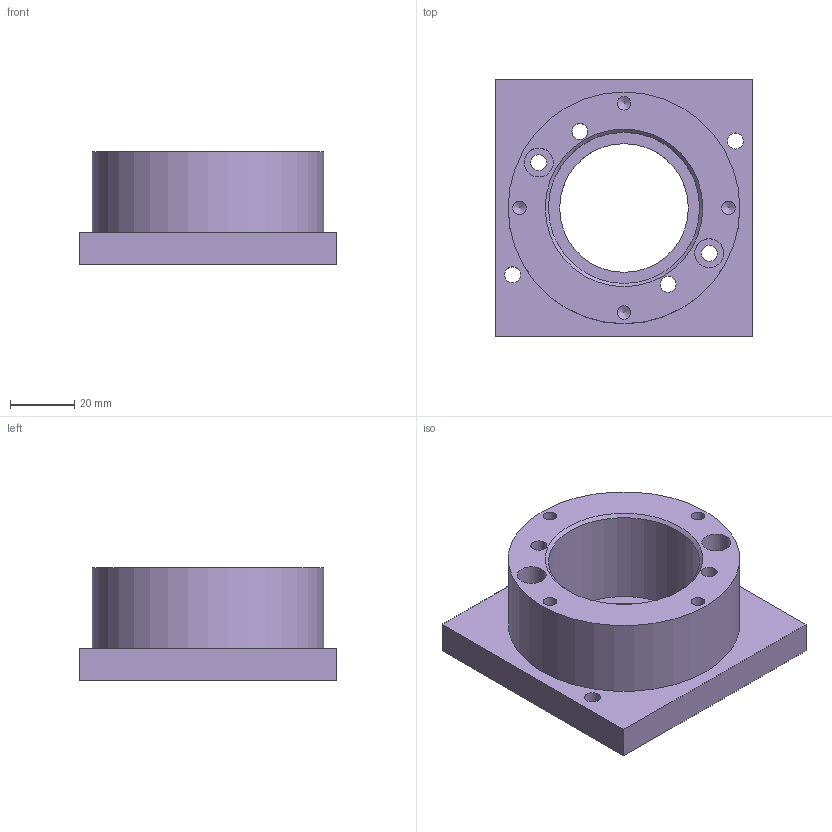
import cadquery as cq
import math

flange_side = 80.0
flange_thickness = 10.0
hub_diameter = 72.0
total_height = 35.0

bore_diameter = 47.0
bore_chamfer = 1.0
lip_diameter = 40.0
lip_thickness = 4.0

blind_diameter = 4.2
blind_depth = 12.0
blind_circle_radius = 32.5
blind_count = 4
drill_point_angle = 118.0

through_diameter = 5.0
hub_hole_radius = 27.4
hub_hole_angle = 120.0
flange_hole_radius = 40.4
flange_hole_angle = 31.0
screw_hole_radius = 30.0
screw_hole_angle = 152.0

counterbore_diameter = 9.0
counterbore_depth = total_height - flange_thickness


def polar_points(radius, first_angle, count):
    """Points evenly spaced around the part's axis."""
    points = []
    for index in range(count):
        angle = math.radians(first_angle + index * 360.0 / count)
        points.append((radius * math.cos(angle), radius * math.sin(angle)))
    return points


def cylinders_from_top(diameter, depth, points):
    """Cutting cylinders reaching down from the hub's top face."""
    top_plane = cq.Workplane("XY").workplane(offset=total_height)
    return top_plane.pushPoints(points).circle(diameter / 2).extrude(-depth)


def make_body():
    flange = cq.Workplane("XY").rect(flange_side, flange_side).extrude(flange_thickness)
    hub = cq.Workplane("XY").circle(hub_diameter / 2).extrude(total_height)
    return flange.union(hub)


def make_central_bore():
    """Revolved cutter for the lip opening, the bore and its chamfered mouth."""
    lip_radius = lip_diameter / 2
    bore_radius = bore_diameter / 2
    return (
        cq.Workplane("XZ")
        .moveTo(0, 0)
        .lineTo(lip_radius, 0)
        .lineTo(lip_radius, lip_thickness)
        .lineTo(bore_radius, lip_thickness)
        .lineTo(bore_radius, total_height - bore_chamfer)
        .lineTo(bore_radius + bore_chamfer, total_height)
        .lineTo(0, total_height)
        .close()
        .revolve(360, (0, 0, 0), (0, 1, 0))
    )


def make_blind_hole():
    """Revolved cutter for one drilled hole with a conical bottom, on the Z axis."""
    radius = blind_diameter / 2
    shoulder = total_height - blind_depth
    point_height = radius / math.tan(math.radians(drill_point_angle / 2))
    return (
        cq.Workplane("XZ")
        .moveTo(0, total_height)
        .lineTo(radius, total_height)
        .lineTo(radius, shoulder)
        .lineTo(0, shoulder - point_height)
        .close()
        .revolve(360, (0, 0, 0), (0, 1, 0))
    )


result = make_body().cut(make_central_bore())

blind_hole = make_blind_hole()
for x, y in polar_points(blind_circle_radius, 0, blind_count):
    result = result.cut(blind_hole.translate((x, y, 0)))

through_pairs = [
    (hub_hole_radius, hub_hole_angle),
    (flange_hole_radius, flange_hole_angle),
    (screw_hole_radius, screw_hole_angle),
]
for radius, angle in through_pairs:
    pair = polar_points(radius, angle, 2)
    result = result.cut(cylinders_from_top(through_diameter, total_height, pair))

screw_points = polar_points(screw_hole_radius, screw_hole_angle, 2)
result = result.cut(cylinders_from_top(counterbore_diameter, counterbore_depth, screw_points))